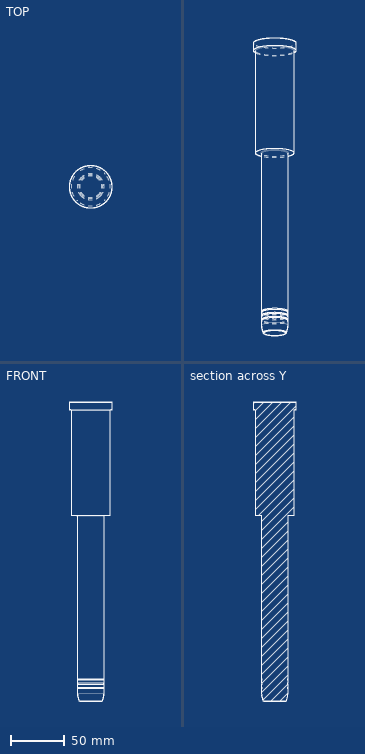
import cadquery as cq
import math

total_length = 280
head_diameter = 40.0
head_height = 7.3
sleeve_diameter = 36.0
sleeve_length = 98.8
pin_diameter = 25.0

corner_radius = 0.5
tip_chamfer = 0.5

tip_diameter = 21.5
tip_length = 7.3
tip_bulge = 0.3

groove_count = 3
groove_pitch = 4.0
lowest_groove_height = 12.5
groove_width = 1.0
groove_depth = 0.22

head_bottom = total_length - head_height
sleeve_bottom = head_bottom - sleeve_length


def cylinder(diameter, bottom, top):
    """Cylinder on the Z axis between two heights."""
    return cq.Workplane("XY").workplane(offset=bottom).circle(diameter / 2).extrude(top - bottom)


def rounded_tip():
    """Tapered tip with a slightly convex flank."""
    tip_radius = tip_diameter / 2
    pin_radius = pin_diameter / 2
    middle_radius = (tip_radius + pin_radius) / 2 + tip_bulge
    return (
        cq.Workplane("XZ")
        .lineTo(tip_radius, 0)
        .threePointArc((middle_radius, tip_length / 2), (pin_radius, tip_length))
        .lineTo(0, tip_length)
        .close()
        .revolve(360, (0, 0, 0), (0, 1, 0))
    )


def groove(center_height):
    """Ring that cuts one round-bottomed groove into the pin."""
    pin_radius = pin_diameter / 2
    half_width = groove_width / 2
    return (
        cq.Workplane("XZ")
        .moveTo(pin_radius, center_height - half_width)
        .threePointArc(
            (pin_radius - groove_depth, center_height),
            (pin_radius, center_height + half_width),
        )
        .lineTo(head_diameter / 2, center_height + half_width)
        .lineTo(head_diameter / 2, center_height - half_width)
        .close()
        .revolve(360, (0, 0, 0), (0, 1, 0))
    )


def corner_fillet(diameter, step_height):
    """Concave fillet ring around a cylinder, just below a step."""
    radius = diameter / 2
    arc_center = (radius + corner_radius, step_height - corner_radius)
    arc_offset = corner_radius * math.sqrt(0.5)
    return (
        cq.Workplane("XZ")
        .moveTo(radius - corner_radius, step_height)
        .lineTo(radius + corner_radius, step_height)
        .threePointArc(
            (arc_center[0] - arc_offset, arc_center[1] + arc_offset),
            (radius, step_height - corner_radius),
        )
        .lineTo(radius - corner_radius, step_height - corner_radius)
        .close()
        .revolve(360, (0, 0, 0), (0, 1, 0))
    )


pin = rounded_tip().faces("<Z").chamfer(tip_chamfer).union(cylinder(pin_diameter, tip_length, sleeve_bottom))
for index in range(groove_count):
    pin = pin.cut(groove(lowest_groove_height + index * groove_pitch))

sleeve = cylinder(sleeve_diameter, sleeve_bottom, head_bottom)
head = cylinder(head_diameter, head_bottom, total_length)

result = pin.union(sleeve).union(head)
result = result.union(corner_fillet(pin_diameter, sleeve_bottom))
result = result.union(corner_fillet(sleeve_diameter, head_bottom))